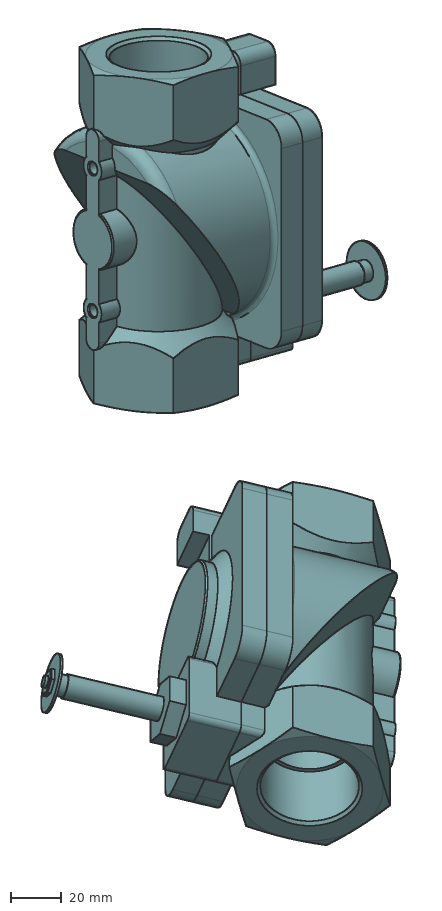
import cadquery as cq
import math


PORT_HALF_LENGTH = 70.0
HEX_FLATS = 58.0
HEX_CORNER_RADIUS = HEX_FLATS / math.sqrt(3)
HEX_END_CHAMFER_ANGLE = 15.0
PIPE_RADIUS = 25.1
PIPE_HALF_LENGTH = 37.4
BORE_DIAMETER = 36.0
THREAD_DIAMETER = 39.0
THREAD_DEPTH = 29.0
THREAD_CHAMFER = 1.3

FLANGE_SIDE = 96.0
FLANGE_CORNER_RADIUS = 9.5
FLANGE_FRONT_Y = 23.0
PARTING_Y = 34.0
FLANGE_BACK_Y = 44.1

BOWL_RADIUS = 43.5
BOWL_FLOOR_Y = -27.1
BOWL_FILLET = 5.1
NECK_FILLET = 2.2
SLOPE_TOP_Z = 29.0
SLOPE_RUN_Y = 47.8
SLOPE_DROP_Z = 67.0

RAIL_FACE_Y = -34.1
RAIL_ROOT_Y = -20.3
RAIL_WIDTH = 7.8
RAIL_LENGTH = 92.5
CENTRE_BOSS_RADIUS = 12.5
CENTRE_BOSS_CHAMFER = 0.6
SCREW_BOSS_RADIUS = 5.5
SCREW_SPACING = 59.7
SCREW_HOLE_DIAMETER = 5.0
SCREW_SINK_DIAMETER = 6.0
SCREW_HOLE_DEPTH = 5.8
DRILL_POINT_ANGLE = 118.0

UPPER_LUG_WIDTH = 19.9
UPPER_LUG_TOP_Z = 65.0
UPPER_LUG_CORNER_RADIUS = 5.0
UPPER_LUG_BACK_Y = 51.9
UPPER_RIB_BACK_Y = 45.1
UPPER_RIB_FOOT_Z = 29.0

STEM_Z = -45.5
LOWER_LUG_WIDTH = 32.5
LOWER_LUG_HEIGHT = 35.0
LOWER_LUG_CORNER_RADIUS = 2.3
LOWER_LUG_BACK_Y = 55.5
LUG_FRONT_Y = 21.0

CROWN_BASE_RADIUS = 35.7
CROWN_RADIUS = 29.9
CROWN_STEP_Y = 48.3
CROWN_BACK_Y = 53.2
CROWN_CHAMFER = 0.7

STEM_NUT_FLATS = 24.0
STEM_NUT_END_Y = 62.4
STEM_DIAMETER = 10.0
STEM_END_Y = 102.1
STEM_NECK_DIAMETER = 9.0
WASHER_DIAMETER = 24.0
WASHER_START_Y = 106.9
WASHER_END_Y = 107.9
END_NUT_FLATS = 10.0
END_NUT_END_Y = 109.6
END_NUT_CHAMFER = 0.5
TIP_DIAMETER = 5.0
TIP_END_Y = RAIL_FACE_Y + 145.0


def section_at(y, z=0.0):
    """Sketch plane square to Y: local x is X, local y is Z, extrusion runs toward +Y."""
    return cq.Workplane(cq.Plane(origin=(0, y, z), xDir=(1, 0, 0), normal=(0, -1, 0)))


def cylinder_y(diameter, y_start, y_end, z=0.0):
    return section_at(y_start, z).circle(diameter / 2).extrude(y_start - y_end)


def box_y(width, height, y_start, y_end, z=0.0):
    return section_at(y_start, z).rect(width, height).extrude(y_start - y_end)


def hexagon_y(flats, y_start, y_end, z):
    """Hexagonal prism along Y with two of its corners pointing along Z."""
    corner_diameter = 2 * flats / math.sqrt(3)
    outline = section_at(y_start, z).transformed(rotate=(0, 0, 90)).polygon(6, corner_diameter)
    return outline.extrude(y_start - y_end)


def flange(y_start, y_end):
    plate = box_y(FLANGE_SIDE, FLANGE_SIDE, y_start, y_end)
    return plate.edges("|Y").fillet(FLANGE_CORNER_RADIUS)


def upper_lug(y_start, y_end):
    """Lug with two rounded top corners, standing on the middle of the valve."""
    lug = box_y(UPPER_LUG_WIDTH, UPPER_LUG_TOP_Z - UPPER_RIB_FOOT_Z, y_start, y_end,
                (UPPER_LUG_TOP_Z + UPPER_RIB_FOOT_Z) / 2)
    return lug.edges("|Y and >Z").fillet(UPPER_LUG_CORNER_RADIUS)


def lower_lug(y_start, y_end):
    lug = box_y(LOWER_LUG_WIDTH, LOWER_LUG_HEIGHT, y_start, y_end, STEM_Z)
    return lug.edges("|Y").fillet(LOWER_LUG_CORNER_RADIUS)


def hexagon_end():
    """Upper hexagonal port, coned down to the pipe and chamfered at its open end."""
    corner_rise = HEX_CORNER_RADIUS - HEX_FLATS / 2
    end_chamfer = corner_rise * math.tan(math.radians(HEX_END_CHAMFER_ANGLE))
    prism = (
        cq.Workplane("XY")
        .transformed(rotate=(0, 0, 90))
        .polygon(6, 2 * HEX_CORNER_RADIUS)
        .extrude(PORT_HALF_LENGTH)
    )
    turned_outline = (
        cq.Workplane("XZ")
        .moveTo(0, PIPE_HALF_LENGTH)
        .lineTo(PIPE_RADIUS, PIPE_HALF_LENGTH)
        .lineTo(HEX_CORNER_RADIUS, PIPE_HALF_LENGTH + HEX_CORNER_RADIUS - PIPE_RADIUS)
        .lineTo(HEX_CORNER_RADIUS, PORT_HALF_LENGTH - end_chamfer)
        .lineTo(HEX_FLATS / 2, PORT_HALF_LENGTH)
        .lineTo(0, PORT_HALF_LENGTH)
        .close()
        .revolve(360, (0, 0, 0), (0, 1, 0))
    )
    return prism.intersect(turned_outline)


def bowl():
    """Round bowl with a filleted floor, a flared neck and a sloping cut on its lower side."""
    body = cylinder_y(2 * BOWL_RADIUS, BOWL_FLOOR_Y, FLANGE_FRONT_Y)
    body = body.faces("<Y").edges().fillet(BOWL_FILLET)
    neck_radius = BOWL_RADIUS + NECK_FILLET
    neck_start_y = FLANGE_FRONT_Y - NECK_FILLET
    arc_inset = NECK_FILLET * math.sqrt(0.5)
    neck = (
        cq.Workplane("XY")
        .moveTo(0, FLANGE_FRONT_Y)
        .lineTo(neck_radius, FLANGE_FRONT_Y)
        .threePointArc((neck_radius - arc_inset, neck_start_y + arc_inset), (BOWL_RADIUS, neck_start_y))
        .lineTo(0, neck_start_y)
        .close()
        .revolve(360, (0, 0, 0), (0, 1, 0))
    )
    slope_bottom_z = SLOPE_TOP_Z - SLOPE_DROP_Z
    slope_cut = (
        cq.Workplane("YZ")
        .moveTo(BOWL_FLOOR_Y, SLOPE_TOP_Z)
        .lineTo(BOWL_FLOOR_Y + SLOPE_RUN_Y, slope_bottom_z)
        .lineTo(BOWL_FLOOR_Y + SLOPE_RUN_Y, -FLANGE_SIDE)
        .lineTo(BOWL_FLOOR_Y, -FLANGE_SIDE)
        .close()
        .extrude(FLANGE_SIDE / 2, both=True)
    )
    return body.union(neck).cut(slope_cut)


def mounting_rail():
    """Round-ended bar with a centre boss and two screw bosses, all flush at the front."""
    rail = section_at(RAIL_FACE_Y).slot2D(RAIL_LENGTH, RAIL_WIDTH, 90).extrude(RAIL_FACE_Y - RAIL_ROOT_Y)
    centre_boss = cylinder_y(2 * CENTRE_BOSS_RADIUS, RAIL_FACE_Y, RAIL_ROOT_Y)
    rail = rail.union(centre_boss.faces("<Y").chamfer(CENTRE_BOSS_CHAMFER))
    for side in (-1, 1):
        boss = cylinder_y(2 * SCREW_BOSS_RADIUS, RAIL_FACE_Y, RAIL_ROOT_Y, side * SCREW_SPACING / 2)
        rail = rail.union(boss)
    return rail


def screw_hole(z):
    """Countersunk blind hole with a drill-point end."""
    radius = SCREW_HOLE_DIAMETER / 2
    sink_radius = SCREW_SINK_DIAMETER / 2
    point_depth = radius / math.tan(math.radians(DRILL_POINT_ANGLE / 2))
    shoulder_y = RAIL_FACE_Y + SCREW_HOLE_DEPTH
    return (
        cq.Workplane("XY", origin=(0, 0, z))
        .moveTo(0, RAIL_FACE_Y)
        .lineTo(sink_radius, RAIL_FACE_Y)
        .lineTo(radius, RAIL_FACE_Y + sink_radius - radius)
        .lineTo(radius, shoulder_y)
        .lineTo(0, shoulder_y + point_depth)
        .close()
        .revolve(360, (0, 0, 0), (0, 1, 0))
    )


def flow_bore():
    """Straight bore with a wider, chamfered thread bore at each end."""
    thread_radius = THREAD_DIAMETER / 2
    thread_start_z = PORT_HALF_LENGTH - THREAD_DEPTH
    upper_half = (
        cq.Workplane("XZ")
        .lineTo(BORE_DIAMETER / 2, 0)
        .lineTo(BORE_DIAMETER / 2, thread_start_z)
        .lineTo(thread_radius, thread_start_z)
        .lineTo(thread_radius, PORT_HALF_LENGTH - THREAD_CHAMFER)
        .lineTo(thread_radius + THREAD_CHAMFER, PORT_HALF_LENGTH)
        .lineTo(0, PORT_HALF_LENGTH)
        .close()
        .revolve(360, (0, 0, 0), (0, 1, 0))
    )
    return upper_half.union(upper_half.mirror("XY"))


def make_housing():
    pipe = cq.Workplane("XY").circle(PIPE_RADIUS).extrude(PIPE_HALF_LENGTH, both=True)
    upper_end = hexagon_end()
    housing = pipe.union(upper_end).union(upper_end.mirror("XY"))
    housing = housing.union(bowl())
    housing = housing.union(flange(FLANGE_FRONT_Y, PARTING_Y))
    housing = housing.union(upper_lug(LUG_FRONT_Y, PARTING_Y))
    housing = housing.union(lower_lug(LUG_FRONT_Y, PARTING_Y))
    housing = housing.union(mounting_rail())
    for side in (-1, 1):
        housing = housing.cut(screw_hole(side * SCREW_SPACING / 2))
    return housing.cut(flow_bore())


def crown():
    """Coned step and flat disc on the back of the cover."""
    return (
        cq.Workplane("XY")
        .moveTo(0, PARTING_Y)
        .lineTo(CROWN_BASE_RADIUS, PARTING_Y)
        .lineTo(CROWN_BASE_RADIUS, FLANGE_BACK_Y)
        .lineTo(CROWN_RADIUS, CROWN_STEP_Y)
        .lineTo(CROWN_RADIUS, CROWN_BACK_Y - CROWN_CHAMFER)
        .lineTo(CROWN_RADIUS - CROWN_CHAMFER, CROWN_BACK_Y)
        .lineTo(0, CROWN_BACK_Y)
        .close()
        .revolve(360, (0, 0, 0), (0, 1, 0))
    )


def cover_upper_lug():
    """Upper lug that overhangs the flange, with a low rib running from it to the crown."""
    lug = upper_lug(PARTING_Y, UPPER_LUG_BACK_Y)
    clearance_height = FLANGE_SIDE / 2 - UPPER_RIB_FOOT_Z
    clearance = box_y(UPPER_LUG_WIDTH, clearance_height, UPPER_RIB_BACK_Y, UPPER_LUG_BACK_Y,
                      UPPER_RIB_FOOT_Z + clearance_height / 2)
    return lug.cut(clearance)


def stem():
    """Solenoid stem: clamping nut, tube, neck, washer, end nut and threaded tip."""
    end_nut = hexagon_y(END_NUT_FLATS, WASHER_END_Y, END_NUT_END_Y, STEM_Z)
    end_nut = end_nut.faces(">Y").chamfer(END_NUT_CHAMFER)
    return (
        hexagon_y(STEM_NUT_FLATS, LOWER_LUG_BACK_Y, STEM_NUT_END_Y, STEM_Z)
        .union(cylinder_y(STEM_DIAMETER, STEM_NUT_END_Y, STEM_END_Y, STEM_Z))
        .union(cylinder_y(STEM_NECK_DIAMETER, STEM_END_Y, WASHER_START_Y, STEM_Z))
        .union(cylinder_y(WASHER_DIAMETER, WASHER_START_Y, WASHER_END_Y, STEM_Z))
        .union(end_nut)
        .union(cylinder_y(TIP_DIAMETER, END_NUT_END_Y, TIP_END_Y, STEM_Z))
    )


def make_cover():
    cover = flange(PARTING_Y, FLANGE_BACK_Y).union(crown())
    cover = cover.union(cover_upper_lug())
    cover = cover.union(lower_lug(PARTING_Y, LOWER_LUG_BACK_Y))
    return cover.union(stem())


housing = make_housing()
cover = make_cover()

result = cq.Compound.makeCompound([housing.val(), cover.val()])